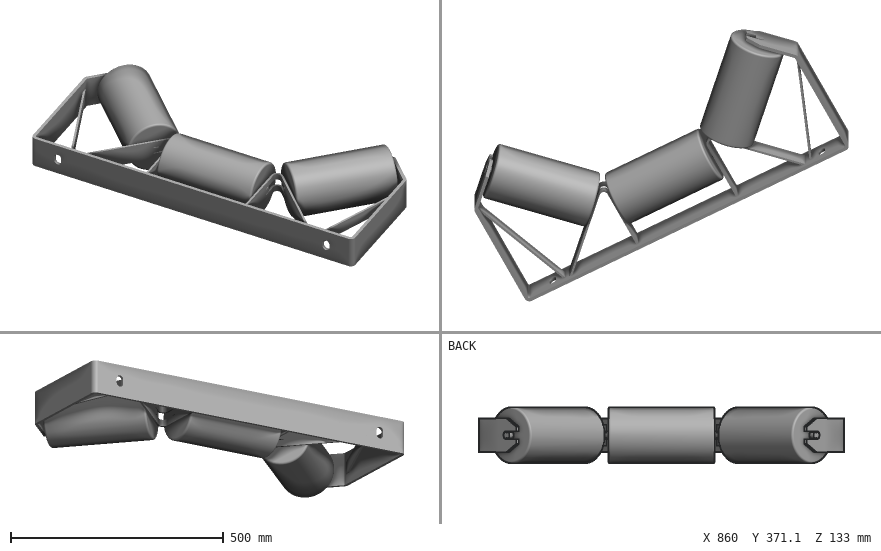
import cadquery as cq
import math

roller_length = 250
roller_diameter = 133
roller_edge_radius = 5
axle_diameter = 20
axle_flats = 14
trough_angle = 45

frame_thickness = 8
bracket_thickness = 5
brace_thickness = 5
end_gap = 5

center_roller_y = 124
side_roller_x = 267
side_roller_y = 237.74

frame_width = 860
frame_height = 80
frame_bend_radius = 12
frame_tip_y = 358
tip_taper_across = 20
tip_taper_along = 33
mount_hole_x = 358
mount_hole_width = 18
mount_hole_height = 28

bracket_height = 50
bracket_bend_radius = 15
axle_slot_width = 18
axle_slot_length = 100

brace_height = 30
brace_angle = 21
brace_top_y = 260

half_frame = frame_width / 2
frame_inner_x = half_frame - frame_thickness
half_roller = roller_length / 2
axle_radius = axle_diameter / 2
plate_near = half_roller + end_gap
frame_far = plate_near + frame_thickness
bracket_far = plate_near + bracket_thickness
axle_stand_out = 1
outer_axle_reach = frame_far + axle_stand_out
inner_axle_reach = bracket_far

slope = math.radians(trough_angle)
cos_slope = math.cos(slope)
sin_slope = math.sin(slope)
Z_AXIS = ((0, 0, 0), (0, 0, 1))


def mirrored(body):
    return body.mirror("YZ")


def on_left_axis(distance):
    """Point on the left roller's axis; a positive distance goes outward, up to the frame."""
    return -side_roller_x - distance * cos_slope, side_roller_y + distance * sin_slope


def slanted_face_y(distance, x):
    """Y at x of the plate face square to the left roller's axis at a distance along it."""
    face_x, face_y = on_left_axis(distance)
    return face_y + (x - face_x) / math.tan(slope)


def slanted_face_x(distance, y):
    """X at y of the plate face square to the left roller's axis at a distance along it."""
    face_x, face_y = on_left_axis(distance)
    return face_x + (y - face_y) * math.tan(slope)


def upright_plate(outline, height):
    return cq.Workplane("XY").workplane(offset=-height / 2).polyline(outline).close().extrude(height)


def round_bend(body, corner, radius):
    """Round the upright edge that stands on a corner of the outline."""
    x, y = corner
    margin = 0.5
    edge_box = cq.selectors.BoxSelector((x - margin, y - margin, -margin), (x + margin, y + margin, margin))
    return body.edges(edge_box).fillet(radius)


def cylinder_along_x(diameter, start, end):
    return cq.Workplane("YZ").workplane(offset=start).circle(diameter / 2).extrude(end - start)


def roller(left_reach, right_reach):
    drum = cylinder_along_x(roller_diameter, -half_roller, half_roller).edges().fillet(roller_edge_radius)
    shaft = cylinder_along_x(axle_diameter, -plate_near, plate_near)
    axle_ends = cylinder_along_x(axle_diameter, -left_reach, right_reach)
    flats = cq.Workplane("XY").box(2 * (left_reach + right_reach), axle_diameter, axle_flats)
    return drum.union(shaft).union(axle_ends.intersect(flats))


def left_side_roller():
    body = roller(outer_axle_reach, inner_axle_reach).rotate(*Z_AXIS, -trough_angle)
    return body.translate((*on_left_axis(0), 0))


def axle_slot():
    cut_depth = 2 * bracket_bend_radius
    seat = cylinder_along_x(axle_diameter, -cut_depth / 2, cut_depth / 2)
    walls = cq.Workplane("XY").box(cut_depth, axle_diameter, axle_slot_width)
    opening = (cq.Workplane("XY").box(cut_depth, axle_slot_length, axle_slot_width)
               .translate((0, axle_slot_length / 2, 0)))
    return seat.intersect(walls).union(opening)


def slanted_axle_slot(distance):
    return axle_slot().rotate(*Z_AXIS, -trough_angle).translate((*on_left_axis(distance), 0))


def arm_tip():
    """Outer and inner corner of the square-cut end of the left arm."""
    outer_x = slanted_face_x(frame_far, frame_tip_y)
    inner = (outer_x + frame_thickness * cos_slope, frame_tip_y - frame_thickness * sin_slope)
    return (outer_x, frame_tip_y), inner


def bent_half_bar():
    outer_base = (-half_frame, 0)
    inner_base = (-frame_inner_x, frame_thickness)
    outer_shoulder = (-half_frame, slanted_face_y(frame_far, -half_frame))
    inner_shoulder = (-frame_inner_x, slanted_face_y(plate_near, -frame_inner_x))
    bar = upright_plate([(0, 0), outer_base, outer_shoulder, *arm_tip(),
                         inner_shoulder, inner_base, (0, frame_thickness)], frame_height)
    for corner in (outer_base, outer_shoulder):
        bar = round_bend(bar, corner, frame_bend_radius)
    for corner in (inner_base, inner_shoulder):
        bar = round_bend(bar, corner, frame_bend_radius - frame_thickness)
    return bar


def tip_taper(side):
    """Triangular cutter for the upper (side 1) or lower (side -1) corner of the arm's tip."""
    outer_tip = arm_tip()[0]
    arm_face = cq.Plane(origin=(*outer_tip, 0), xDir=(sin_slope, cos_slope, 0),
                        normal=(cos_slope, -sin_slope, 0))
    edge = side * frame_height / 2
    tapered_edge = edge - side * tip_taper_across
    return (cq.Workplane(arm_face).polyline([(0, edge), (-tip_taper_along, edge), (0, tapered_edge)])
            .close().extrude(frame_thickness))


def mount_hole():
    return (cq.Workplane("XZ").center(-mount_hole_x, 0)
            .slot2D(mount_hole_height, mount_hole_width, 90).extrude(-frame_thickness))


def frame():
    half = bent_half_bar()
    for side in (1, -1):
        half = half.cut(tip_taper(side))
    half = half.cut(slanted_axle_slot(plate_near)).cut(mount_hole())
    return half.union(mirrored(half))


def left_bracket():
    base_y = frame_thickness
    outer_peak = (-plate_near, slanted_face_y(-plate_near, -plate_near))
    inner_peak = (-bracket_far, slanted_face_y(-bracket_far, -bracket_far))
    strip = upright_plate([(-plate_near, base_y), outer_peak, (slanted_face_x(-plate_near, base_y), base_y),
                           (slanted_face_x(-bracket_far, base_y), base_y), inner_peak,
                           (-bracket_far, base_y)], bracket_height)
    strip = round_bend(strip, outer_peak, bracket_bend_radius)
    strip = round_bend(strip, inner_peak, bracket_bend_radius - bracket_thickness)
    middle = (plate_near + bracket_far) / 2
    upright_slot = axle_slot().translate((-middle, center_roller_y, 0))
    return strip.cut(upright_slot).cut(slanted_axle_slot(-middle))


def left_brace():
    lean = math.radians(brace_angle)
    base_y = frame_thickness
    base_x = -frame_inner_x + (brace_top_y - base_y) * math.tan(lean)
    cut_across_back = brace_thickness / math.cos(lean)
    cut_along_wall = brace_thickness / math.sin(lean)
    return upright_plate([(-frame_inner_x, brace_top_y), (base_x, base_y), (base_x - cut_across_back, base_y),
                          (-frame_inner_x, brace_top_y - cut_along_wall)], brace_height)


center_roller = roller(inner_axle_reach, inner_axle_reach).translate((0, center_roller_y, 0))
bodies = [frame(), center_roller]
for left_body in (left_side_roller(), left_bracket(), left_brace()):
    bodies += [left_body, mirrored(left_body)]

result = cq.Compound.makeCompound([body.val() for body in bodies])